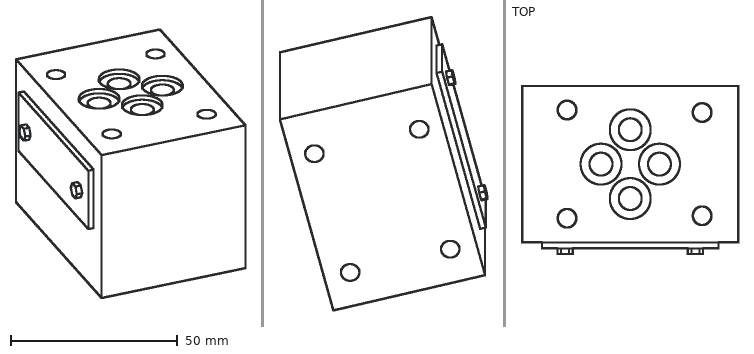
import cadquery as cq
import math

BLOCK_LENGTH = 65.0
BLOCK_HEIGHT = 49.0
OVERALL_DEPTH = 50.6

PLATE_LENGTH = 53.05
PLATE_HEIGHT = 20.0
PLATE_THICKNESS = 1.75
PLATE_TOP_GAP = 8.0
HEAD_ACROSS_CORNERS = 4.7
HEAD_THICKNESS = 1.75
HEAD_SPACING = 39.1

PORT_OFFSET_X = 8.8
PORT_OFFSET_Y = 10.35
PORT_DIAMETER = 6.9
PORT_DEPTH = 26.0
PORT_TIP_ANGLE = 118.0
SEAT_DIAMETER = 12.3
SEAT_DEPTH = 1.5

MOUNT_DIAMETER = 5.5
LEFT_PAIR_X = -19.0
LEFT_PAIR_SPACING = 32.5
RIGHT_PAIR_X = 21.6
RIGHT_PAIR_SPACING = 31.0

BLOCK_DEPTH = OVERALL_DEPTH - PLATE_THICKNESS - HEAD_THICKNESS
FRONT_Y = -BLOCK_DEPTH / 2
PLATE_FRONT_Y = FRONT_Y - PLATE_THICKNESS
PLATE_CENTRE_Z = BLOCK_HEIGHT - PLATE_TOP_GAP - PLATE_HEIGHT / 2


def front_plane(y):
    """Sketch plane facing -Y at the given y, centred on the name plate."""
    return cq.Workplane("XZ", origin=(0, y, PLATE_CENTRE_Z))


def port(x, y):
    """Cutting body for one port: seal seat, drilled bore and conical drill tip."""
    bore_radius = PORT_DIAMETER / 2
    seat_radius = SEAT_DIAMETER / 2
    tip_length = bore_radius / math.tan(math.radians(PORT_TIP_ANGLE / 2))
    half_profile = (
        cq.Workplane("XZ")
        .moveTo(0, 0)
        .lineTo(seat_radius, 0)
        .lineTo(seat_radius, -SEAT_DEPTH)
        .lineTo(bore_radius, -SEAT_DEPTH)
        .lineTo(bore_radius, -PORT_DEPTH)
        .lineTo(0, -PORT_DEPTH - tip_length)
        .close()
    )
    return half_profile.revolve(360, (0, 0, 0), (0, 1, 0)).translate((x, y, BLOCK_HEIGHT))


result = cq.Workplane("XY").box(BLOCK_LENGTH, BLOCK_DEPTH, BLOCK_HEIGHT, centered=(True, True, False))

plate = front_plane(FRONT_Y).rect(PLATE_LENGTH, PLATE_HEIGHT).extrude(PLATE_THICKNESS)
heads = (
    front_plane(PLATE_FRONT_Y)
    .pushPoints([(-HEAD_SPACING / 2, 0), (HEAD_SPACING / 2, 0)])
    .polygon(6, HEAD_ACROSS_CORNERS)
    .extrude(HEAD_THICKNESS)
)
result = result.union(plate).union(heads)

port_centres = [
    (-PORT_OFFSET_X, 0),
    (PORT_OFFSET_X, 0),
    (0, -PORT_OFFSET_Y),
    (0, PORT_OFFSET_Y),
]
for x, y in port_centres:
    result = result.cut(port(x, y))

mount_centres = [
    (x, side * spacing / 2)
    for x, spacing in [(LEFT_PAIR_X, LEFT_PAIR_SPACING), (RIGHT_PAIR_X, RIGHT_PAIR_SPACING)]
    for side in (-1, 1)
]
mount_holes = cq.Workplane("XY").pushPoints(mount_centres).circle(MOUNT_DIAMETER / 2).extrude(BLOCK_HEIGHT)
result = result.cut(mount_holes)